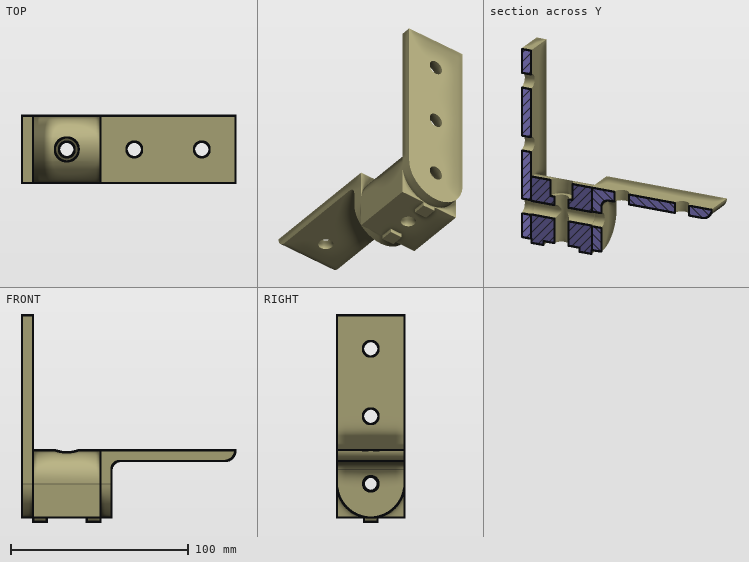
import cadquery as cq


total_length = 120.6
width = 38.1
arm_hole_diameter = 8.7
pivot_hole_diameter = 8.0
bolt_hole_diameter = 8.7
counterbore_diameter = 13.5
counterbore_depth = 9.7
tab_size = 7.8
tab_height = 2.4
inner_fillet_radius = 4.7

half_width = width / 2
leaf_length = 2 * width
thickness = total_length - width - leaf_length
arm_height = width + leaf_length
hole_spacing = width
block_end = half_width


def cylinder_along_x(diameter, start_x, length, z=0.0):
    plane = cq.Workplane("YZ", origin=(start_x, 0, z))
    return plane.circle(diameter / 2).extrude(length)


def make_pivot_plate(start_x, height):
    """Plate rounded about the pivot axis at the bottom, with a pivot hole."""
    plate = (
        cq.Workplane("YZ", origin=(start_x, 0, 0))
        .moveTo(half_width, 0)
        .lineTo(half_width, height - half_width)
        .lineTo(-half_width, height - half_width)
        .lineTo(-half_width, 0)
        .threePointArc((0, -half_width), (half_width, 0))
        .close()
        .extrude(thickness)
    )
    return plate.cut(cylinder_along_x(arm_hole_diameter, start_x, thickness))


def make_straight_arm():
    start_x = -block_end - thickness
    arm = make_pivot_plate(start_x, arm_height)
    for index in (1, 2):
        arm = arm.cut(cylinder_along_x(arm_hole_diameter, start_x, thickness, index * hole_spacing))
    return arm


def make_angled_arm():
    """Short pivot plate with a horizontal leaf whose tip is rounded underneath."""
    leaf_start = block_end + thickness
    leaf_end = block_end + leaf_length
    leaf_bottom = half_width - thickness
    leaf = (
        cq.Workplane("XZ", origin=(0, half_width, 0))
        .moveTo(block_end, half_width)
        .lineTo(leaf_end, half_width)
        .radiusArc((leaf_end - thickness, leaf_bottom), thickness)
        .lineTo(leaf_start + inner_fillet_radius, leaf_bottom)
        .radiusArc((leaf_start, leaf_bottom - inner_fillet_radius), -inner_fillet_radius)
        .lineTo(block_end, leaf_bottom - inner_fillet_radius)
        .close()
        .extrude(width)
    )
    arm = make_pivot_plate(block_end, width).union(leaf)
    for index in (1, 2):
        hole = (
            cq.Workplane("XY", origin=(index * hole_spacing, 0, leaf_bottom))
            .circle(arm_hole_diameter / 2)
            .extrude(thickness)
        )
        arm = arm.cut(hole)
    return arm


def make_block():
    """Square block with a round top, two bottom tabs, a pivot hole and a counterbored bolt hole."""
    block = (
        cq.Workplane("YZ", origin=(-block_end, 0, 0))
        .moveTo(-half_width, -half_width)
        .lineTo(half_width, -half_width)
        .lineTo(half_width, 0)
        .threePointArc((0, half_width), (-half_width, 0))
        .close()
        .extrude(width)
    )
    for side in (-1, 1):
        tab = (
            cq.Workplane("XY", origin=(side * (block_end - tab_size / 2), 0, -half_width))
            .rect(tab_size, tab_size)
            .extrude(-tab_height)
        )
        block = block.union(tab)

    bolt_hole = (
        cq.Workplane("XY", origin=(0, 0, -half_width))
        .circle(bolt_hole_diameter / 2)
        .extrude(width)
    )
    counterbore = (
        cq.Workplane("XY", origin=(0, 0, half_width))
        .circle(counterbore_diameter / 2)
        .extrude(-counterbore_depth)
    )
    pivot_hole = cylinder_along_x(pivot_hole_diameter, -block_end, width)
    return block.cut(pivot_hole).cut(bolt_hole).cut(counterbore)


straight_arm = make_straight_arm()
angled_arm = make_angled_arm()
block = make_block()

result = cq.Compound.makeCompound([straight_arm.val(), angled_arm.val(), block.val()])